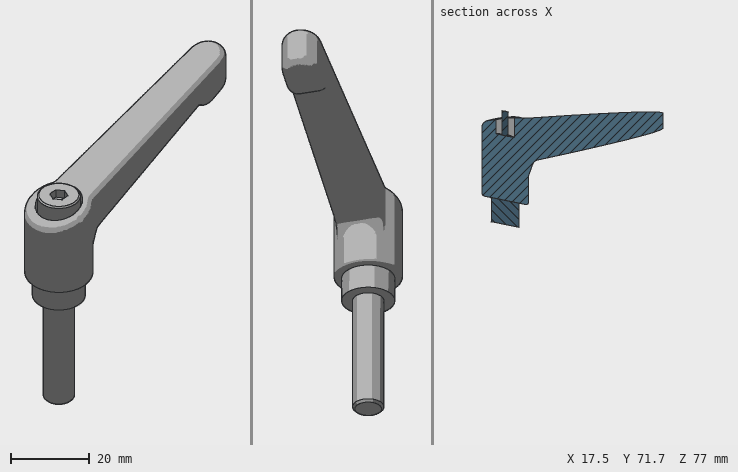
import cadquery as cq
import math

collar_bottom = 31.95
hub_bottom = 38.5
screw_top = 63.1
overall_height = 77.0
overall_length = 71.7

hub_radius = 17.5 / 2
hub_bottom_fillet = 0.8
top_slope = math.radians(15)
top_fillet = 2.0
recess_radius = 6.0
recess_floor = 56.2

arm_reach = overall_length - hub_radius
tip_radius = 5.1
root_half_width = 6.55
under_fillet = 2.7
joint_fillet = 1.15

grip_slope = math.radians(20)
grip_root_height = 50.25
bump_depth = 3.15
bump_start = 48.4
bump_radius = 4.5
bump_hollow_radius = 1.6
root_hollow_radius = 1.55
root_wall_slope = math.radians(70)
arm_foot = 42.3
root_hollow_start = 0.9

collar_radius = 6.8
stud_radius = 4.0
stud_chamfer = 0.6
thread_bottom = 33.1

head_radius = 5.5
head_chamfer = 0.4
shank_radius = 2.5
socket_width = 4.0
socket_depth = 2.3

tip_fillet_center_y = arm_reach - top_fillet
axis_top_height = (
    overall_height - top_fillet + top_fillet / math.cos(top_slope)
    - tip_fillet_center_y * math.tan(top_slope)
)


def top_height(y):
    return axis_top_height + y * math.tan(top_slope)


def grip_point(along, above):
    """Y, Z of a point given along and above the grip line, from its root at the hub wall."""
    y = hub_radius + along * math.cos(grip_slope) - above * math.sin(grip_slope)
    z = grip_root_height + along * math.sin(grip_slope) + above * math.cos(grip_slope)
    return y, z


def arc_point(center, radius, angle):
    """Y, Z of a point on an arc, with its center and angle taken relative to the grip line."""
    along, above = center
    return grip_point(along + radius * math.cos(angle), above + radius * math.sin(angle))


def make_arm_plan():
    """Upright prism of the tapering, round-ended arm outline."""
    tip_center_y = arm_reach - tip_radius
    taper = math.asin((root_half_width - tip_radius) / tip_center_y)
    tangent_x = tip_radius * math.cos(taper)
    tangent_y = tip_center_y + tip_radius * math.sin(taper)
    return (
        cq.Workplane("XY")
        .moveTo(-root_half_width, 0)
        .lineTo(-tangent_x, tangent_y)
        .threePointArc((0, arm_reach), (tangent_x, tangent_y))
        .lineTo(root_half_width, 0)
        .close()
        .extrude(2 * overall_height)
    )


def make_arm_side():
    """Side outline of the arm, extruded across the full hub width."""
    down = -math.pi / 2
    radius_sum = bump_radius + bump_hollow_radius
    rise = radius_sum - bump_depth
    bump_center = (bump_start, bump_radius - bump_depth)
    hollow_center = (bump_start - math.sqrt(radius_sum**2 - rise**2), -bump_hollow_radius)
    meeting_angle = math.atan2(-rise, hollow_center[0] - bump_start)
    hollow_end_angle = meeting_angle + math.pi

    root_center = (root_hollow_start, -root_hollow_radius)
    root_angle = math.pi / 2 + root_wall_slope - grip_slope
    root_end = arc_point(root_center, root_hollow_radius, root_angle)
    root_foot = (0, root_end[1] - root_end[0] * math.tan(root_wall_slope))

    beyond_tip = arm_reach + tip_radius
    bump_line_end = grip_point(beyond_tip, -bump_depth)
    return (
        cq.Workplane("YZ")
        .moveTo(*root_foot)
        .lineTo(*root_end)
        .threePointArc(
            arc_point(root_center, root_hollow_radius, (root_angle + math.pi / 2) / 2),
            grip_point(root_hollow_start, 0),
        )
        .lineTo(*grip_point(hollow_center[0], 0))
        .threePointArc(
            arc_point(hollow_center, bump_hollow_radius, (math.pi / 2 + hollow_end_angle) / 2),
            arc_point(hollow_center, bump_hollow_radius, hollow_end_angle),
        )
        .threePointArc(
            arc_point(bump_center, bump_radius, (meeting_angle + down) / 2),
            grip_point(bump_start, -bump_depth),
        )
        .lineTo(*bump_line_end)
        .lineTo(bump_line_end[0], top_height(bump_line_end[0]))
        .lineTo(0, top_height(0))
        .close()
        .extrude(hub_radius, both=True)
    )


def make_arm():
    """Arm with its underside rounded along both sides and around the tip."""
    arm = make_arm_plan().intersect(make_arm_side())
    under_edge_point = (root_half_width, *grip_point(bump_start / 2, 0))
    arm = arm.edges(cq.selectors.NearestToPointSelector(under_edge_point)).fillet(under_fillet)
    above_foot = cq.Workplane("XY").workplane(offset=arm_foot).rect(2 * arm_reach, 3 * arm_reach)
    return arm.intersect(above_foot.extrude(overall_height))


def make_hub():
    """Cylinder cut off by the sloping top plane."""
    blank = cq.Workplane("XY").workplane(offset=hub_bottom).circle(hub_radius).extrude(overall_height)
    side = (
        cq.Workplane("YZ")
        .polyline([
            (-hub_radius, hub_bottom),
            (hub_radius, hub_bottom),
            (hub_radius, top_height(hub_radius)),
            (-hub_radius, top_height(-hub_radius)),
        ])
        .close()
        .extrude(hub_radius, both=True)
    )
    return blank.intersect(side).faces("<Z").edges().fillet(hub_bottom_fillet)


def make_handle():
    """Hub and arm in one piece, with a recess for the screw head and a hole for its shank."""
    handle = make_hub().union(make_arm(), clean=True)
    joint_zone = cq.selectors.BoxSelector(
        (-hub_radius, root_half_width / 2, hub_bottom),
        (hub_radius, hub_radius, overall_height),
    )
    handle = handle.edges("|Z").edges(joint_zone).fillet(joint_fillet)
    top_normal = cq.Vector(0, -math.sin(top_slope), math.cos(top_slope))
    handle = handle.faces(cq.selectors.DirectionMinMaxSelector(top_normal)).edges().fillet(top_fillet)
    recess = cq.Workplane("XY").workplane(offset=recess_floor).circle(recess_radius).extrude(overall_height)
    shank_hole = cq.Workplane("XY").circle(shank_radius).extrude(overall_height)
    return handle.cut(recess).cut(shank_hole)


def make_insert():
    """Stud with a collar that bears on the hub and takes the screw's end."""
    stud = cq.Workplane("XY").circle(stud_radius).extrude(collar_bottom)
    stud = stud.faces("<Z").edges().chamfer(stud_chamfer)
    collar = (
        cq.Workplane("XY")
        .workplane(offset=collar_bottom)
        .circle(collar_radius)
        .extrude(hub_bottom - collar_bottom)
    )
    screw_hole = (
        cq.Workplane("XY")
        .workplane(offset=thread_bottom)
        .circle(shank_radius)
        .extrude(hub_bottom - thread_bottom)
    )
    return stud.union(collar).cut(screw_hole)


def make_screw():
    """Cap screw with a hexagon socket, its corners pointing along Y."""
    head = (
        cq.Workplane("XY")
        .workplane(offset=recess_floor)
        .circle(head_radius)
        .extrude(screw_top - recess_floor)
        .faces(">Z")
        .edges()
        .chamfer(head_chamfer)
    )
    shank = (
        cq.Workplane("XY")
        .workplane(offset=thread_bottom)
        .circle(shank_radius)
        .extrude(recess_floor - thread_bottom)
    )
    socket_diameter = socket_width / math.cos(math.pi / 6)
    socket = (
        cq.Workplane("XY")
        .workplane(offset=screw_top - socket_depth)
        .transformed(rotate=(0, 0, 90))
        .polygon(6, socket_diameter)
        .extrude(socket_depth)
    )
    return head.union(shank).cut(socket)


handle = make_handle()
insert = make_insert()
screw = make_screw()

result = cq.Compound.makeCompound([handle.val(), insert.val(), screw.val()])